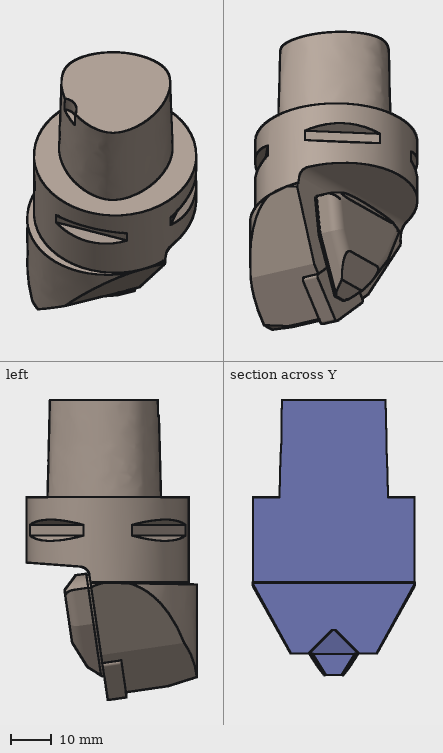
import cadquery as cq
import math

SHANK_LENGTH = 24.0
SHANK_BASE_RADIUS = 14.02
SHANK_TAPER = 0.025
SHANK_LOBE = 0.85
LOBE_CURVE_POINTS = 36
NOTCH_RADIUS = 3.55
NOTCH_CENTRE_Y = -14.5
NOTCH_DEPTH = 4.0

FLANGE_RADIUS = 40.0 / 2
FLANGE_HEIGHT = 21.0
GROOVE_Z = -8.15
GROOVE_FLOOR_HEIGHT = 2.6
GROOVE_MOUTH_HEIGHT = 5.25
GROOVE_DEPTH = 2.3

HEAD_HALF_WIDTH = 40.25 / 2
HEAD_HALF_LENGTH = 42.0 - FLANGE_RADIUS
LEDGE_TILT = 1.0
LEDGE_START_Y = 3.7
HEEL_Z = -44.3
HEEL_SLOPE = 17.5
RAKE_TILT = 8.3
TIP_Z = SHANK_LENGTH - 74

POINT_FLAT_HALF = 0.45
POINT_APEX = 0.8
SHOULDER_HALF = 10.35
SHOULDER_V = POINT_APEX + SHOULDER_HALF
FLANK_ANGLE = 29
FLANK_TOP_V = 44.4

GULLET_ROOF_Z = -16.1
GULLET_ROOF_SLOPE = 4.3
GULLET_CORNER_RADIUS = 5.2 / 2

INSERT_SIDE = 12.7
INSERT_THICKNESS = 4.7
INSERT_NOSE_RADIUS = 0.8

CLAMP_HALF_WIDTH = 13.3
CLAMP_TAPER_HALF = 10.35
CLAMP_TOP_V = 31.7
CLAMP_SHOULDER_V = 28.1
CLAMP_TAPER_V = 19.1
CLAMP_BEVEL_V = 15.4
CLAMP_BEND_V = 8.8
CLAMP_NOSE_V = 5.6
CLAMP_NOSE_HALF = 1.85
CLAMP_HEIGHT = 6.65
CLAMP_BEND_HEIGHT = 3.8
CLAMP_EDGE_ROUND = 2.5
CLAMP_END_ROUND = 3.3
CLAMP_BASE_HEIGHT = 0.75
CLAMP_BASE_INSET = 0.3

OVERSIZE = 74


def rise(run, degrees):
    """Height gained over a run at the given slope."""
    return run * math.tan(math.radians(degrees))


def rake_plane(height=0):
    """Plane parallel to the rake face; its normal runs back into the head."""
    tilt = math.radians(RAKE_TILT)
    back = cq.Vector(0, -math.cos(tilt), math.sin(tilt))
    origin = cq.Vector(0, 0, TIP_Z) - back * height
    return cq.Plane(origin=origin.toTuple(), xDir=(1, 0, 0), normal=back.toTuple())


def lobed_wire(mean_radius, z):
    """Constant-width three-lobed curve with one lobe towards +Y."""
    def point(step):
        angle = 2 * math.pi * step / LOBE_CURVE_POINTS
        support = mean_radius - SHANK_LOBE * math.sin(3 * angle)
        slope = -3 * SHANK_LOBE * math.cos(3 * angle)
        return (
            support * math.cos(angle) - slope * math.sin(angle),
            support * math.sin(angle) + slope * math.cos(angle),
            z,
        )

    points = [cq.Vector(*point(step)) for step in range(LOBE_CURVE_POINTS)]
    return cq.Wire.assembleEdges([cq.Edge.makeSpline(points, periodic=True)])


def make_shank():
    top_radius = SHANK_BASE_RADIUS - SHANK_TAPER * SHANK_LENGTH
    wires = [lobed_wire(SHANK_BASE_RADIUS, 0), lobed_wire(top_radius, SHANK_LENGTH)]
    shank = cq.Workplane(cq.Solid.makeLoft(wires))
    notch = (
        cq.Workplane("XY", origin=(0, NOTCH_CENTRE_Y, SHANK_LENGTH))
        .circle(NOTCH_RADIUS)
        .extrude(-NOTCH_DEPTH)
    )
    return shank.cut(notch)


def groove_cutter(angle):
    """Flat-bottomed groove across the rim, flaring outwards, at an angle about Z."""
    floor = FLANGE_RADIUS - GROOVE_DEPTH
    floor_half = GROOVE_FLOOR_HEIGHT / 2
    mouth_half = GROOVE_MOUTH_HEIGHT / 2
    return (
        cq.Workplane("XZ")
        .moveTo(floor, GROOVE_Z - floor_half)
        .lineTo(FLANGE_RADIUS, GROOVE_Z - mouth_half)
        .lineTo(FLANGE_RADIUS, GROOVE_Z + mouth_half)
        .lineTo(floor, GROOVE_Z + floor_half)
        .close()
        .extrude(FLANGE_RADIUS, both=True)
        .rotate((0, 0, 0), (0, 0, 1), angle)
    )


def make_flange():
    flange = cq.Workplane("XY").circle(FLANGE_RADIUS).extrude(-FLANGE_HEIGHT)
    for angle in (45, 135, 225, 315):
        flange = flange.cut(groove_cutter(angle))
    return flange


def make_head():
    """Elliptical column trimmed to a pointed prism, a tilted ledge and a sloping heel."""
    back_y = -HEAD_HALF_LENGTH
    front_y = HEAD_HALF_LENGTH
    ledge_drop = rise(LEDGE_START_Y - back_y, LEDGE_TILT)
    heel_drop = rise(front_y - back_y, HEEL_SLOPE)
    side = (
        cq.Workplane("YZ")
        .moveTo(back_y, HEEL_Z)
        .lineTo(back_y, -FLANGE_HEIGHT - ledge_drop)
        .lineTo(LEDGE_START_Y, -FLANGE_HEIGHT)
        .lineTo(front_y, -FLANGE_HEIGHT)
        .lineTo(front_y, HEEL_Z - heel_drop)
        .close()
        .extrude(HEAD_HALF_WIDTH, both=True)
    )
    column = cq.Workplane("XY").ellipse(HEAD_HALF_WIDTH, HEAD_HALF_LENGTH).extrude(-OVERSIZE)
    flank_top_half = SHOULDER_HALF + rise(FLANK_TOP_V - SHOULDER_V, FLANK_ANGLE)
    flat_v = POINT_APEX + POINT_FLAT_HALF
    point = (
        cq.Workplane(rake_plane())
        .moveTo(-POINT_FLAT_HALF, flat_v)
        .lineTo(POINT_FLAT_HALF, flat_v)
        .lineTo(SHOULDER_HALF, SHOULDER_V)
        .lineTo(flank_top_half, FLANK_TOP_V)
        .lineTo(-flank_top_half, FLANK_TOP_V)
        .lineTo(-SHOULDER_HALF, SHOULDER_V)
        .close()
        .extrude(OVERSIZE)
    )
    return column.intersect(side).intersect(point)


def gullet_cutter():
    """Space in front of the rake face, with a rounded inner corner under the flange."""
    roof_slope = math.tan(math.radians(GULLET_ROOF_SLOPE))
    rake_slope = math.tan(math.radians(RAKE_TILT))
    corner_y = rake_slope * (GULLET_ROOF_Z - FLANGE_RADIUS * roof_slope - TIP_Z)
    corner_y = corner_y / (1 - rake_slope * roof_slope)
    corner_z = TIP_Z + corner_y / rake_slope
    outer_y = OVERSIZE
    outer_z = corner_z + roof_slope * (outer_y - corner_y)
    bottom_z = -OVERSIZE
    return (
        cq.Workplane("YZ")
        .moveTo(corner_y, corner_z)
        .lineTo(outer_y, outer_z)
        .lineTo(outer_y, bottom_z)
        .lineTo(rake_slope * (bottom_z - TIP_Z), bottom_z)
        .close()
        .extrude(OVERSIZE, both=True)
        .edges(cq.selectors.NearestToPointSelector((0, corner_y, corner_z)))
        .fillet(GULLET_CORNER_RADIUS)
    )


def clamp_outline(height):
    """Clamp outline seen square to the rake face, at a height above it."""
    return (
        cq.Workplane(rake_plane(height))
        .moveTo(-CLAMP_NOSE_HALF, CLAMP_NOSE_V)
        .lineTo(CLAMP_NOSE_HALF, CLAMP_NOSE_V)
        .lineTo(CLAMP_TAPER_HALF, CLAMP_TAPER_V)
        .lineTo(CLAMP_HALF_WIDTH, CLAMP_SHOULDER_V)
        .threePointArc((0, CLAMP_TOP_V), (-CLAMP_HALF_WIDTH, CLAMP_SHOULDER_V))
        .lineTo(-CLAMP_TAPER_HALF, CLAMP_TAPER_V)
        .close()
    )


def make_clamp():
    """Clamp with a bevelled nose and rounded upper edges, on a slightly smaller base."""
    plane = rake_plane()
    side_plane = cq.Plane(origin=plane.origin, xDir=-plane.zDir, normal=plane.xDir)
    side = (
        cq.Workplane(side_plane)
        .moveTo(0, CLAMP_NOSE_V)
        .lineTo(CLAMP_BEND_HEIGHT, CLAMP_BEND_V)
        .lineTo(CLAMP_HEIGHT, CLAMP_BEVEL_V)
        .lineTo(CLAMP_HEIGHT, CLAMP_TOP_V - CLAMP_END_ROUND)
        .lineTo(CLAMP_HEIGHT - CLAMP_END_ROUND, CLAMP_TOP_V)
        .lineTo(0, CLAMP_TOP_V)
        .close()
        .extrude(CLAMP_HALF_WIDTH, both=True)
    )
    block_height = CLAMP_HEIGHT - CLAMP_BASE_HEIGHT
    block = clamp_outline(CLAMP_HEIGHT).extrude(block_height)
    block = block.faces(cq.selectors.DirectionMinMaxSelector(plane.zDir, False))
    block = block.edges().fillet(CLAMP_EDGE_ROUND)
    base = (
        clamp_outline(CLAMP_BASE_HEIGHT).offset2D(-CLAMP_BASE_INSET).extrude(CLAMP_BASE_HEIGHT)
    )
    return block.union(base).intersect(side)


def make_insert():
    """Square plate with rounded corners, flush with the rake face."""
    half_diagonal = INSERT_SIDE / math.sqrt(2)
    nose_loss = INSERT_NOSE_RADIUS * (math.sqrt(2) - 1)
    return (
        cq.Workplane(rake_plane())
        .center(0, half_diagonal - nose_loss)
        .transformed(rotate=(0, 0, 45))
        .rect(INSERT_SIDE, INSERT_SIDE)
        .extrude(INSERT_THICKNESS)
        .edges(cq.selectors.ParallelDirSelector(rake_plane().zDir))
        .fillet(INSERT_NOSE_RADIUS)
    )


insert = make_insert()
holder = make_flange().union(make_shank()).union(make_head()).cut(gullet_cutter())
holder = holder.union(make_clamp()).cut(insert)

result = cq.Compound.makeCompound([holder.val(), insert.val()])